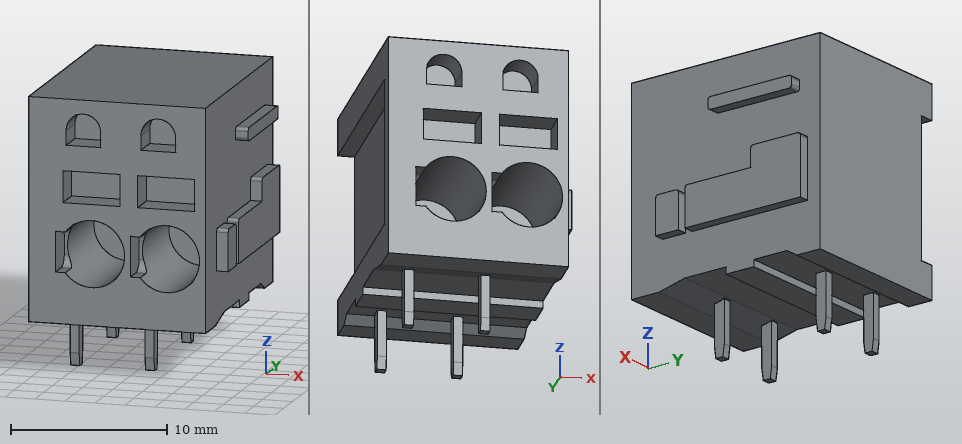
import cadquery as cq


housing_width = 11.8
housing_depth = 15.2
housing_bottom = 3.5
housing_top = 18.3

pole_pitch = 5.0
pole_offsets = [0.0, pole_pitch]

pin_left = 1.8
pin_thickness = 0.6
pin_width = 0.8
pin_tip_width = 0.57
pin_taper_height = 0.86
front_pin_y = 3.71
pin_row_spacing = 8.2
pin_rows = [front_pin_y, front_pin_y + pin_row_spacing]

relief_height = 0.5
relief_top = housing_bottom + relief_height
relief_front_y = 2.23
relief_front_ramp = 2.09
relief_back_y = 13.32
relief_back_ramp = 0.79
foot_front_y = 7.63
foot_length = 2.23

side_pocket_depth = 1.1
side_pocket_front_y = 1.19
side_pocket_bottom = 5.9
side_pocket_top = 15.8

shallow_depth = 2.0
arch_left = 2.5
arch_width = 2.3
arch_radius = arch_width / 2
arch_bottom = 15.26
arch_straight = 0.97
window_left = 2.29
window_width = 3.8
window_bottom = 11.47
window_height = 2.1
wire_hole_diameter = 4.41
wire_hole_depth = 8.0
wire_hole_x = 4.2
wire_hole_z = 8.22

slot_height = 2.67
slot_floor_radius = 0.73
slot_overlap = 1.32
slot_width = wire_hole_x - wire_hole_diameter / 2 + slot_overlap - pin_left

key_fillet = 0.22
bar_protrusion = 0.85
bar_front_y = 6.8
bar_length = 6.75
bar_bottom = 14.65
bar_height = 0.88
rib_protrusion = 0.77
rib_bottom = 7.05
front_rib_y = 2.55
front_rib_length = 1.83
front_rib_top = 9.83
stepped_rib_y = 4.9
stepped_rib_length = 9.3
stepped_rib_low_top = 9.97
stepped_rib_high_top = 11.5
step_y = bar_front_y + bar_length / 2


def box(x, y, z, size_x, size_y, size_z):
    """Box with its lowest corner at (x, y, z)."""
    return cq.Workplane("XY").box(size_x, size_y, size_z, centered=False).translate((x, y, z))


def make_block():
    """Side profile of the housing, extruded over the full width."""
    foot_back_y = foot_front_y + foot_length
    profile = [
        (0, housing_bottom),
        (relief_front_y, housing_bottom),
        (relief_front_y + relief_front_ramp, relief_top),
        (foot_front_y, relief_top),
        (foot_front_y, housing_bottom),
        (foot_back_y, housing_bottom),
        (foot_back_y, relief_top),
        (relief_back_y - relief_back_ramp, relief_top),
        (relief_back_y, housing_bottom),
        (housing_depth, housing_bottom),
        (housing_depth, housing_top),
        (0, housing_top),
    ]
    return cq.Workplane("YZ").polyline(profile).close().extrude(housing_width)


def make_side_pocket():
    return box(
        0, side_pocket_front_y, side_pocket_bottom,
        side_pocket_depth, housing_depth - side_pocket_front_y, side_pocket_top - side_pocket_bottom,
    )


def make_arch_opening():
    """Opening with a flat bottom and a half-round top."""
    arch_right = arch_left + arch_width
    spring_z = arch_bottom + arch_straight
    return (
        cq.Workplane("XZ")
        .moveTo(arch_left, arch_bottom)
        .lineTo(arch_right, arch_bottom)
        .lineTo(arch_right, spring_z)
        .threePointArc((arch_left + arch_radius, spring_z + arch_radius), (arch_left, spring_z))
        .close()
        .extrude(-shallow_depth)
    )


def make_wire_hole():
    return (
        cq.Workplane("XZ")
        .center(wire_hole_x, wire_hole_z)
        .circle(wire_hole_diameter / 2)
        .extrude(-wire_hole_depth)
    )


def make_key_slot():
    slot = box(
        pin_left, 0, wire_hole_z - slot_height / 2,
        slot_width, shallow_depth, slot_height,
    )
    return slot.edges("|X and >Y").fillet(slot_floor_radius)


def make_pole_openings(offset):
    """All the front openings of one pole."""
    window = box(window_left, 0, window_bottom, window_width, shallow_depth, window_height)
    openings = make_arch_opening().union(window).union(make_wire_hole()).union(make_key_slot())
    return openings.translate((offset, 0, 0))


def make_key_bar():
    """Upper bar on the right side, rounded on all four long corners."""
    bar = box(housing_width, bar_front_y, bar_bottom, bar_protrusion, bar_length, bar_height)
    return bar.edges("|X").fillet(key_fillet)


def make_front_rib():
    rib = box(
        housing_width, front_rib_y, rib_bottom,
        rib_protrusion, front_rib_length, front_rib_top - rib_bottom,
    )
    return rib.edges("|X and >Z").fillet(key_fillet)


def make_stepped_rib():
    """Long rib that steps up toward the back, with rounded top corners."""
    back_y = stepped_rib_y + stepped_rib_length
    low = box(
        housing_width, stepped_rib_y, rib_bottom,
        rib_protrusion, stepped_rib_length, stepped_rib_low_top - rib_bottom,
    )
    low = low.edges("|X and >Z and <Y").fillet(key_fillet)
    high = box(
        housing_width, step_y, rib_bottom,
        rib_protrusion, back_y - step_y, stepped_rib_high_top - rib_bottom,
    )
    high = high.edges("|X and >Z").fillet(key_fillet)
    return low.union(high)


def make_pin(offset, center_y):
    """Flat contact pin reaching up to the ceiling of the relief."""
    half_width = pin_width / 2
    half_tip = pin_tip_width / 2
    profile = [
        (center_y - half_tip, 0),
        (center_y + half_tip, 0),
        (center_y + half_width, pin_taper_height),
        (center_y + half_width, relief_top),
        (center_y - half_width, relief_top),
        (center_y - half_width, pin_taper_height),
    ]
    pin = cq.Workplane("YZ").polyline(profile).close().extrude(pin_thickness)
    return pin.translate((pin_left + offset, 0, 0))


pins = [make_pin(offset, center_y) for offset in pole_offsets for center_y in pin_rows]

housing = make_block().cut(make_side_pocket())
for offset in pole_offsets:
    housing = housing.cut(make_pole_openings(offset))
housing = housing.union(make_key_bar()).union(make_front_rib()).union(make_stepped_rib())

for pin in pins:
    housing = housing.cut(pin)

result = cq.Compound.makeCompound([housing.val(), *[pin.val() for pin in pins]])